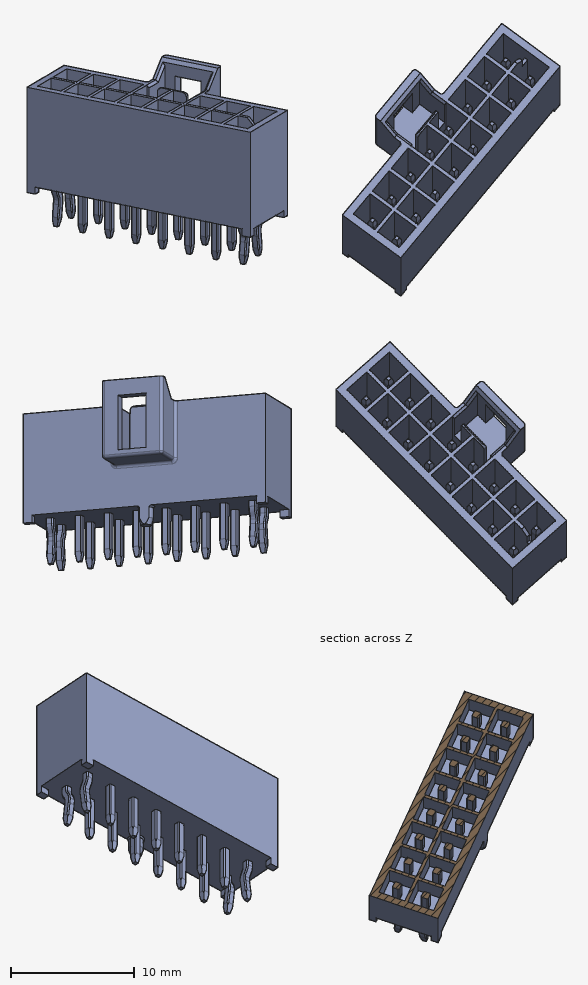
import cadquery as cq
import math

COLUMNS = 8
PITCH = 2.5
POCKET = 2.2

BODY_X = 20.94
BODY_Y = 6.0
BODY_Z = 8.47
POCKET_FLOOR = 1.5
FOOT_X = 0.78
FOOT_Y = 0.6
FOOT_Z = 0.6
BACK_Y = BODY_Y / 2

NOTCH_X = 0.7
NOTCH_SLOPE = 0.63
NOTCH_DEPTH = 2.0

LATCH_X = 5.26
LATCH_Y = 2.84
LATCH_RISE = 1.47
LATCH_BOTTOM = 3.5
LATCH_TOP = BODY_Z + LATCH_RISE
LATCH_CREST = 0.62
LATCH_SLOPE_Y = 1.45
LATCH_ROUND = 0.25
LATCH_BOTTOM_ROUND = 0.24
LATCH_BACK_WALL = 0.91
CAVITY_X = 4.3
LATCH_FLOOR_THICKNESS = 0.6
CAVITY_FLOOR = LATCH_BOTTOM + LATCH_FLOOR_THICKNESS
CAVITY_CHAMFER = 0.21
LATCH_BACK_Y = BACK_Y + LATCH_Y
CAVITY_BACK_Y = LATCH_BACK_Y - LATCH_BACK_WALL

WINDOW_X = 2.4
WINDOW_TOP = 8.62

TAB_X = 2.72
TAB_Y = 0.27
TAB_ROUND = 0.4
TAB_BACK_CHAMFER = 0.13

PIN = 0.64
PIN_CHAMFER = 0.1
PIN_TOP = 6.5
PIN_BOTTOM = -3.78
TIP_LENGTH = 0.8
TIP = 0.32
BEND_START = -0.48
BEND_CREST_START = -1.46
BEND_CREST_END = -1.89
BEND_CREST = 0.34
BENT_TIP_START = -2.96
BEND_RETURN = 8.0

PEG_D = 1.2
PEG_TIP_D = 0.86
PEG_STRAIGHT = 1.02
PEG_LENGTH = 1.57
PEG_INSET = 0.44
PEG_Y = BACK_Y - PEG_INSET
PEG_FLARE = 0.1
PEG_FLARE_Z = 0.15

COLUMN_XS = [(i - (COLUMNS - 1) / 2) * PITCH for i in range(COLUMNS)]
ROW_YS = [-PITCH / 2, PITCH / 2]
POCKET_BACK_Y = ROW_YS[1] + POCKET / 2


def block(x_range, y_range, z_range):
    """Box spanning the given (low, high) ranges."""
    size = [high - low for low, high in (x_range, y_range, z_range)]
    corner = (x_range[0], y_range[0], z_range[0])
    return cq.Workplane("XY").box(*size, centered=False).translate(corner)


def latch_outline():
    """Side outline of the latch in YZ, reaching into the housing wall."""
    return [
        (POCKET_BACK_Y, LATCH_BOTTOM),
        (LATCH_BACK_Y, LATCH_BOTTOM),
        (LATCH_BACK_Y, LATCH_TOP),
        (LATCH_BACK_Y - LATCH_CREST, LATCH_TOP),
        (LATCH_BACK_Y - LATCH_CREST - LATCH_SLOPE_Y, BODY_Z),
        (POCKET_BACK_Y, BODY_Z),
    ]


def housing():
    """Outer block with corner feet and the latch, before hollowing."""
    latch = cq.Workplane("YZ").polyline(latch_outline()).close().extrude(LATCH_X / 2, both=True)
    latch = latch.edges("|Z and >Y").fillet(LATCH_ROUND)
    latch = latch.faces("<Z").edges("not(<Y)").fillet(LATCH_BOTTOM_ROUND)
    half_x = BODY_X / 2
    body = block((-half_x, half_x), (-BACK_Y, BACK_Y), (0, BODY_Z)).union(latch)
    reach = 0.01
    root_box = cq.selectors.BoxSelector(
        (-LATCH_X, BACK_Y - reach, LATCH_BOTTOM), (LATCH_X, BACK_Y + reach, BODY_Z + reach)
    )
    body = body.edges(root_box).edges("|Z").fillet(LATCH_ROUND)
    feet = (
        cq.Workplane("XY")
        .rect(BODY_X - FOOT_X, BODY_Y - FOOT_Y, forConstruction=True)
        .vertices()
        .rect(FOOT_X, FOOT_Y)
        .extrude(-FOOT_Z)
    )
    return body.union(feet)


def pockets():
    """Contact pockets, open at the top."""
    centres = [(x, y) for x in COLUMN_XS for y in ROW_YS]
    return (
        cq.Workplane("XY", origin=(0, 0, POCKET_FLOOR))
        .pushPoints(centres)
        .rect(POCKET, POCKET)
        .extrude(BODY_Z - POCKET_FLOOR)
    )


def row_wall_notch():
    """Slot at the +X end of the row wall, sloping off the wall's top corner."""
    end_x = COLUMN_XS[-1] + POCKET / 2
    wall_x = end_x - NOTCH_X
    outline = [
        (wall_x - NOTCH_SLOPE, BODY_Z),
        (wall_x, BODY_Z - NOTCH_SLOPE),
        (wall_x, BODY_Z - NOTCH_DEPTH),
        (end_x, BODY_Z - NOTCH_DEPTH),
        (end_x, BODY_Z),
    ]
    wall = PITCH - POCKET
    notch = cq.Workplane("XZ").polyline(outline).close()
    return notch.extrude(wall / 2, both=True)


def latch_cavity():
    """Opening in the latch, with its chamfered side edges and the window."""
    half = CAVITY_X / 2
    cavity = block((-half, half), (POCKET_BACK_Y, CAVITY_BACK_Y), (CAVITY_FLOOR, LATCH_TOP))
    window = block(
        (-WINDOW_X / 2, WINDOW_X / 2), (CAVITY_BACK_Y, LATCH_BACK_Y), (CAVITY_FLOOR, WINDOW_TOP)
    )
    return cavity.union(window)


def chamfer_cavity_edges(body):
    """Chamfer the inner top edges of both latch side walls."""
    reach = 0.01
    for side in (-1, 1):
        x = side * CAVITY_X / 2
        selector = cq.selectors.BoxSelector(
            (x - reach, POCKET_BACK_Y, BODY_Z - reach), (x + reach, CAVITY_BACK_Y, LATCH_TOP)
        )
        body = body.edges(selector).edges("not |Z").edges("not |X").chamfer(CAVITY_CHAMFER)
    return body


def tab():
    """Thin wall behind the two middle pockets."""
    y_range = (POCKET_BACK_Y, POCKET_BACK_Y + TAB_Y)
    wall = block((-TAB_X / 2, TAB_X / 2), y_range, (POCKET_FLOOR, BODY_Z))
    wall = wall.edges(">Z and >Y").chamfer(TAB_BACK_CHAMFER)
    return wall.edges("|Y and >Z").fillet(TAB_ROUND)


def pin_section(y, z, normal):
    """Square section with cut corners; y, z place it and normal is a YZ direction."""
    half = PIN / 2
    flat = half - PIN_CHAMFER
    outline = [
        (flat, -half), (half, -flat), (half, flat), (flat, half),
        (-flat, half), (-half, flat), (-half, -flat), (-flat, -half),
    ]
    plane = cq.Plane((0, y, z), (1, 0, 0), (0, *normal))
    return cq.Workplane(plane).polyline(outline).close()


def pin_tip(y, z, normal):
    """Four-sided taper starting at (y, z) and running along normal."""
    base = cq.Plane((0, y, z), (1, 0, 0), (0, *normal))
    taper = cq.Workplane(base).rect(PIN, PIN).workplane(offset=TIP_LENGTH).rect(TIP, TIP).loft(ruled=True)
    return taper.intersect(pin_section(y, z, normal).extrude(TIP_LENGTH))


def straight_pin():
    """Contact on the Z axis, tapered at both ends."""
    low = PIN_BOTTOM + TIP_LENGTH
    high = PIN_TOP - TIP_LENGTH
    shaft = pin_section(0, low, (0, 1)).extrude(high - low)
    return shaft.union(pin_tip(0, low, (0, -1))).union(pin_tip(0, high, (0, 1)))


def bent_pin(side):
    """Contact whose leg bows out towards side (+1 or -1 along Y)."""
    high = PIN_TOP - TIP_LENGTH
    low = BENT_TIP_START
    lean = math.radians(BEND_RETURN)
    end_direction = (-side * math.sin(lean), -math.cos(lean))
    crest_y = BEND_CREST - (BEND_CREST_START - BEND_CREST_END) * math.tan(lean / 2)
    end_y = side * (crest_y - (BEND_CREST_END - low) * math.tan(lean))
    outward_curve = [(0, BEND_START), (side * BEND_CREST, BEND_CREST_START)]
    path = (
        cq.Workplane("YZ")
        .spline(outward_curve, tangents=[(0, -1), (0, -1)])
        .tangentArcPoint((side * crest_y, BEND_CREST_END), relative=False)
        .lineTo(end_y, low)
    )
    leg = pin_section(0, BEND_START, (0, -1)).sweep(path)
    shaft = pin_section(0, BEND_START, (0, 1)).extrude(high - BEND_START)
    top_tip = pin_tip(0, high, (0, 1))
    bottom_tip = pin_tip(end_y, low, end_direction)
    return shaft.union(leg).union(top_tip).union(bottom_tip)


def add_pins(body):
    """Set the contacts; the end columns have legs bent towards the other row."""
    for y, side in zip(ROW_YS, (1, -1)):
        for x in COLUMN_XS:
            is_end = x in (COLUMN_XS[0], COLUMN_XS[-1])
            pin = bent_pin(side) if is_end else straight_pin()
            body = body.union(pin.translate((x, y, 0)))
    return body


def peg():
    """Locating peg with a flared root and tapered end, trimmed at the back face."""
    radius = PEG_D / 2
    outline = [
        (0, 0),
        (radius + PEG_FLARE, 0),
        (radius, -PEG_FLARE_Z),
        (radius, -PEG_STRAIGHT),
        (PEG_TIP_D / 2, -PEG_LENGTH),
        (0, -PEG_LENGTH),
    ]
    solid = cq.Workplane("XZ").polyline(outline).close().revolve(360, (0, 0), (0, 1))
    solid = solid.translate((0, PEG_Y, 0))
    keep = block((-PEG_D, PEG_D), (-BACK_Y, BACK_Y), (-PEG_LENGTH, 0))
    return solid.intersect(keep)


shell = chamfer_cavity_edges(housing().cut(latch_cavity()))
shell = shell.cut(pockets()).union(tab()).cut(row_wall_notch())
result = add_pins(shell.union(peg()))